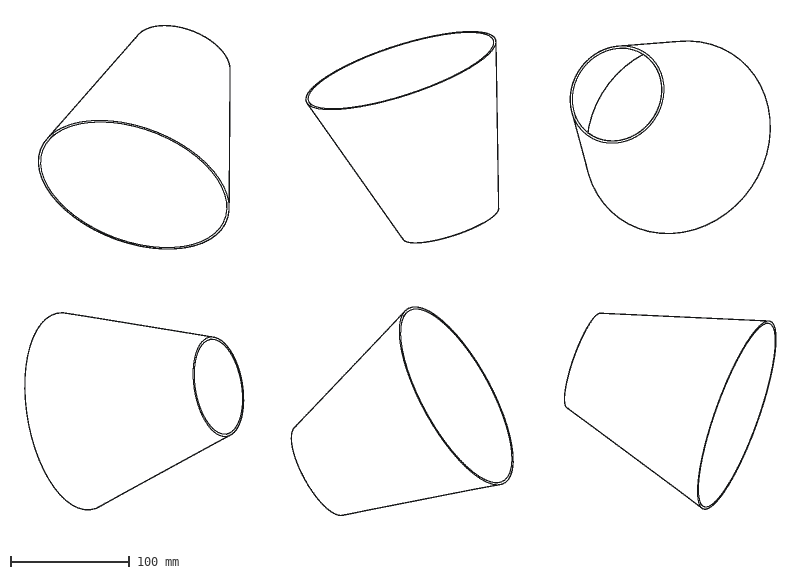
import cadquery as cq
import math

large_diameter = 168.3
small_diameter = 85.0
length = 140.0
wall = 2.0

half_angle = math.atan((large_diameter - small_diameter) / 2 / length)
radial_wall = wall / math.cos(half_angle)


def cone(start_diameter, end_diameter):
    """Solid truncated cone on the Y axis, from y = 0 to y = length."""
    start_radius = start_diameter / 2
    end_radius = end_diameter / 2
    origin = cq.Vector(0, 0, 0)
    axis = cq.Vector(0, 1, 0)
    return cq.Workplane(cq.Solid.makeCone(start_radius, end_radius, length, origin, axis))


outer_body = cone(large_diameter, small_diameter)
bore = cone(large_diameter - 2 * radial_wall, small_diameter - 2 * radial_wall)

result = outer_body.cut(bore)